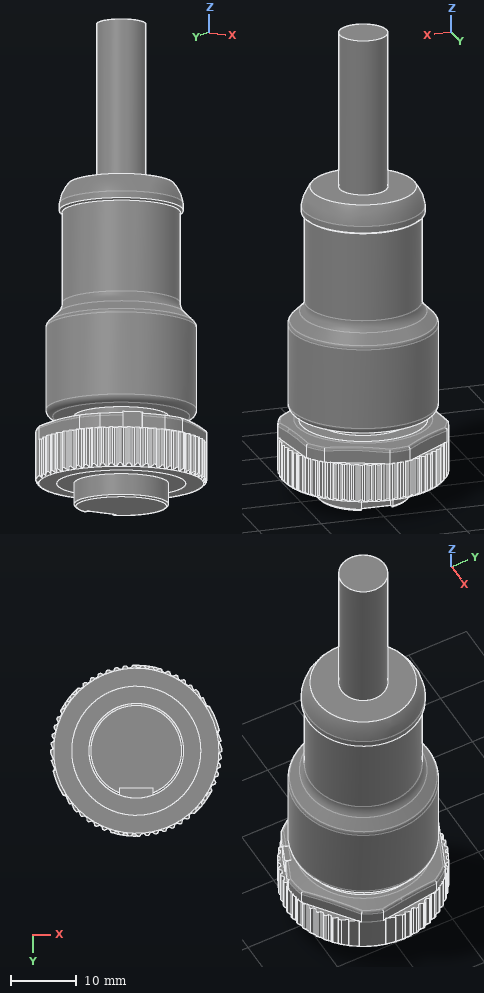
import cadquery as cq
import math

total_height = 74.9
grip_bottom = 3.5
knurl_top = 9.6
pad_top = 12.1
grip_top = 12.3
housing_bottom = 13.9
shoulder_top = 31.5
lip_bottom = 45.6
housing_top = 49.95

cable_radius = 3.75
cable_socket_depth = 9.0

body_radius = 11.45
body_bottom_fillet = 1.05
barrel_radius = 9.0
shoulder_fillet = 2.4
body_top_fillet = 0.8
lip_radius = 9.4
lip_height = 1.05
lip_chamfer = 0.3
nose_radius = 8.1
nose_bulge = 0.19

insert_radius = 7.2
insert_chamfer = 0.3
insert_socket_depth = 4.5
key_width = 5.0
key_depth = 1.5
key_top = 7.5

sleeve_radius = 9.8

grip_radius = 12.995
grip_bottom_chamfer = 0.45
grip_flat_radius = 10.55
grip_cone_slope = 12.0
grip_edge_fillet = 0.45
corner_count = 6
corner_angle = 37.4
corner_half_angle = 7.4

smooth_corners = (2, 5)
step_depth = 0.34
step_start = 9.2
step_pitch = 7.3
step_count = 3
groove_depth = 0.4
groove_mouth = 1.05
groove_floor = 0.4
groove_start = 30.0
groove_pitch = 6.0
groove_count = 21

pad_width = 2.9
pad_height = 0.15
pad_face = 3

corner_pitch = 360.0 / corner_count
face_half_angle = corner_pitch / 2 - corner_half_angle
face_distance = grip_radius * math.cos(math.radians(face_half_angle))


def polar(radius, angle):
    """Point at a radius and an angle in degrees from +X."""
    return radius * math.cos(math.radians(angle)), radius * math.sin(math.radians(angle))


def turn(shape, angle):
    return shape.rotate((0, 0, 0), (0, 0, 1), angle)


def cylinder(radius, bottom, top):
    return cq.Workplane("XY").workplane(offset=bottom).circle(radius).extrude(top - bottom)


def make_cable():
    return cylinder(cable_radius, housing_top - cable_socket_depth, total_height)


def make_housing():
    """Turned sleeve with a lip at the top, bored for the cable and the insert."""
    sin45 = math.sin(math.radians(45))
    cone_top_radius = barrel_radius + shoulder_fillet * (1 - sin45)
    cone_top = shoulder_top - shoulder_fillet * sin45
    cone_bottom_radius = body_radius - body_top_fillet * (1 - sin45)
    cone_bottom = cone_top - (cone_bottom_radius - cone_top_radius)
    body_top = cone_bottom - body_top_fillet * sin45
    lip_edge = lip_bottom + lip_chamfer
    nose_bottom = lip_edge + lip_height
    nose_middle = (
        (nose_radius + lip_radius) / 2 + nose_bulge,
        (nose_bottom + housing_top) / 2 + nose_bulge,
    )
    profile = (
        cq.Workplane("XZ")
        .moveTo(0, housing_bottom)
        .lineTo(body_radius, housing_bottom)
        .lineTo(body_radius, body_top)
        .radiusArc((cone_bottom_radius, cone_bottom), -body_top_fillet)
        .lineTo(cone_top_radius, cone_top)
        .radiusArc((barrel_radius, shoulder_top), shoulder_fillet)
        .lineTo(barrel_radius, lip_bottom)
        .lineTo(lip_radius, lip_edge)
        .lineTo(lip_radius, nose_bottom)
        .threePointArc(nose_middle, (nose_radius, housing_top))
        .lineTo(0, housing_top)
        .close()
    )
    turned = profile.revolve(360, (0, 0, 0), (0, 1, 0))
    rounded = turned.faces("<Z").edges().fillet(body_bottom_fillet)
    cable_socket = cylinder(cable_radius, housing_top - cable_socket_depth, housing_top)
    insert_socket = cylinder(insert_radius, housing_bottom, housing_bottom + insert_socket_depth)
    return rounded.cut(cable_socket).cut(insert_socket)


def make_insert():
    """Round plug with a keyway in its +Y side, open at the mating end."""
    plug = cylinder(insert_radius, 0, housing_bottom + insert_socket_depth)
    plug = plug.faces("<Z").edges().chamfer(insert_chamfer)
    keyway = cq.Workplane("XY").box(key_width, 2 * key_depth, key_top, centered=(True, True, False))
    return plug.cut(keyway.translate((0, insert_radius, 0)))


def make_sleeve():
    return cylinder(sleeve_radius, grip_bottom, grip_top).cut(cylinder(insert_radius, grip_bottom, grip_top))


def make_hexagon():
    """Hexagon with arc corners, its top falling away as a cone with a rounded edge."""
    outline = cq.Workplane("XY").workplane(offset=knurl_top)
    outline = outline.moveTo(*polar(grip_radius, corner_angle - corner_half_angle))
    for corner in range(corner_count):
        middle = corner_angle + corner * corner_pitch
        next_start = middle + corner_pitch - corner_half_angle
        outline = outline.threePointArc(
            polar(grip_radius, middle),
            polar(grip_radius, middle + corner_half_angle),
        )
        if corner < corner_count - 1:
            outline = outline.lineTo(*polar(grip_radius, next_start))
    hexagon = outline.close().extrude(grip_top - knurl_top)
    cone_drop = (grip_radius - grip_flat_radius) * math.tan(math.radians(grip_cone_slope))
    cap = (
        cq.Workplane("XZ")
        .moveTo(0, knurl_top)
        .lineTo(grip_radius, knurl_top)
        .lineTo(grip_radius, grip_top - cone_drop)
        .lineTo(grip_flat_radius, grip_top)
        .lineTo(0, grip_top)
        .close()
        .revolve(360, (0, 0, 0), (0, 1, 0))
    )
    capped = hexagon.intersect(cap)
    outer_edges = capped.faces("%CONE").edges("not(%LINE)").edges("not(>Z)")
    return outer_edges.fillet(grip_edge_fillet)


def make_pad():
    angle = corner_angle + (pad_face + 0.5) * corner_pitch
    pad = cq.Workplane("XY").box(
        face_distance + pad_height - sleeve_radius, pad_width, pad_top - knurl_top,
        centered=(False, True, False),
    )
    return turn(pad.translate((sleeve_radius, 0, knurl_top)), angle)


def prism(points):
    """Upright cutter through the knurled ring."""
    base = cq.Workplane("XY").workplane(offset=grip_bottom)
    return base.polyline(points).close().extrude(knurl_top - grip_bottom)


def make_step_groove(start, side):
    """Groove beside a corner on +X: its floor faces +X and runs out at the rim."""
    floor_x, wall_y = polar(grip_radius - step_depth, start)
    rim_y = math.sqrt(grip_radius ** 2 - floor_x ** 2)
    outside_x = grip_radius + step_depth
    return prism([
        (floor_x, side * wall_y),
        (floor_x, side * rim_y),
        (outside_x, side * rim_y),
        (outside_x, side * wall_y),
    ])


def make_plain_groove():
    """Groove on +X with sloping walls and a flat floor."""
    floor_x = grip_radius - groove_depth
    return prism([
        (floor_x, -groove_floor / 2),
        (grip_radius, -groove_mouth / 2),
        (grip_radius + groove_depth, -groove_mouth / 2),
        (grip_radius + groove_depth, groove_mouth / 2),
        (grip_radius, groove_mouth / 2),
        (floor_x, groove_floor / 2),
    ])


def make_grooves():
    """All grooves as one compound of separate cutters."""
    cutters = []
    for corner in smooth_corners:
        middle = corner_angle + corner * corner_pitch
        for step in range(step_count):
            for side in (1, -1):
                groove = make_step_groove(step_start + step * step_pitch, side)
                cutters.append(turn(groove, middle).val())
        for tooth in range(groove_count):
            angle = middle + groove_start + tooth * groove_pitch
            cutters.append(turn(make_plain_groove(), angle).val())
    return cq.Workplane(cq.Compound.makeCompound(cutters))


def make_grip():
    ring = cylinder(grip_radius, grip_bottom, knurl_top)
    ring = ring.faces("<Z").edges().chamfer(grip_bottom_chamfer)
    bore = cylinder(sleeve_radius, grip_bottom, grip_top)
    return ring.cut(make_grooves()).union(make_hexagon()).union(make_pad()).cut(bore)


cable = make_cable()
housing = make_housing()
insert = make_insert()
sleeve = make_sleeve()
grip = make_grip()

result = cq.Compound.makeCompound([
    cable.val(),
    housing.val(),
    insert.val(),
    sleeve.val(),
    grip.val(),
])